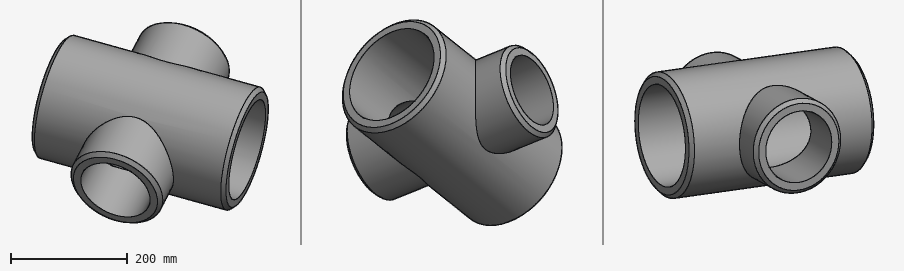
import cadquery as cq

run_length = 355.6
run_outer_diameter = 219.1
run_bore_diameter = 178.0

branch_length = 336.3
branch_outer_diameter = 168.3
branch_bore_diameter = 127.0

end_bevel = 7.0


def centred_cylinder(plane_name, diameter, length):
    """Solid cylinder centred on the origin, along the normal of the plane."""
    return cq.Workplane(plane_name).circle(diameter / 2).extrude(length / 2, both=True)


def bevelled_bar(plane_name, diameter, length):
    """Centred cylinder with both end edges bevelled."""
    return centred_cylinder(plane_name, diameter, length).edges("%CIRCLE").chamfer(end_bevel)


run_body = bevelled_bar("YZ", run_outer_diameter, run_length)
branch_body = bevelled_bar("XZ", branch_outer_diameter, branch_length)

run_bore = centred_cylinder("YZ", run_bore_diameter, run_length)
branch_bore = centred_cylinder("XZ", branch_bore_diameter, branch_length)

result = run_body.union(branch_body).cut(run_bore).cut(branch_bore)